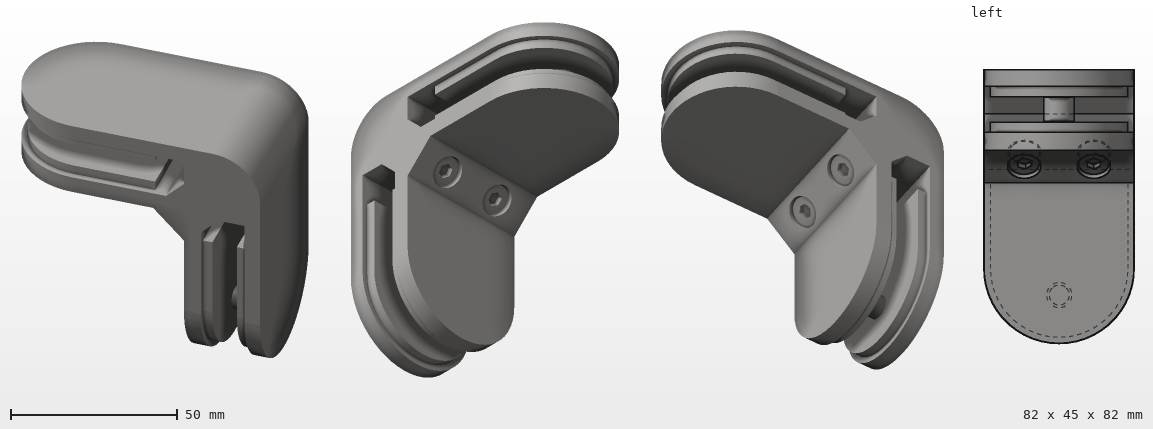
import cadquery as cq
import math

arm_length = 82.0
width = 45.0
outer_plate = 5.0
inner_plate = 5.3
arm_thickness = 24.1
corner_radius = 15.0
slot_chamfer = 5.65
inner_chamfer = 9.75

pad_thickness = 3.0
pad_width = 41.2

top_pin_diameter = 9.0
top_pin_neck_diameter = 8.0
top_pin_neck_length = 0.25
top_pin_from_tip = 15.1
side_peg_diameter = 7.55
side_peg_neck_diameter = 6.0
side_peg_neck_length = 0.5
side_peg_from_tip = 14.6

bore_diameter = 10.0
screw_diameter = 9.0
screw_length = 5.0
screw_recess = 1.2
screw_offset = 10.4
socket_across_flats = 4.0
socket_depth = 2.0
socket_turns = {-screw_offset: 0.0, screw_offset: 10.0}

tip_radius = width / 2
tip_centre = arm_length - tip_radius
pad_radius = pad_width / 2
slot_far = arm_thickness - inner_plate
pad_end = arm_thickness + inner_chamfer
pad_gap = slot_far - outer_plate - 2 * pad_thickness
gap_top = outer_plate + pad_thickness


def to_side_arm(body):
    """Place a copy of a top-arm body on the side arm, mirrored across the plane X = Z."""
    return body.rotate((0, 0, 0), (0, 1, 0), -90).mirror("YZ")


def make_tongue(root, radius, depth, thickness):
    """Round-ended plate from X = -root to the arm tip, its upper face at Z = -depth."""
    return (
        cq.Workplane("XY", origin=(0, 0, -depth))
        .moveTo(-root, -radius)
        .lineTo(-tip_centre, -radius)
        .threePointArc((-tip_centre - radius, 0), (-tip_centre, radius))
        .lineTo(-root, radius)
        .close()
        .extrude(-thickness)
    )


def make_post(diameter, from_tip, depth, length):
    """Vertical cylinder on the top arm, its upper end at Z = -depth."""
    post_plane = cq.Workplane("XY", origin=(from_tip - arm_length, 0, -depth))
    return post_plane.circle(diameter / 2).extrude(-length)


def make_pin(diameter, neck_diameter, neck_length, from_tip):
    """Barrel with a thinner neck at each end, filling the gap between the pads of the top arm."""
    neck = make_post(neck_diameter, from_tip, gap_top, pad_gap)
    barrel = make_post(diameter, from_tip, gap_top + neck_length, pad_gap - 2 * neck_length)
    return neck.union(barrel)


def make_slot():
    """Slot between the two plates of the top arm, with its inner corner chamfered."""
    return (
        cq.Workplane("XZ", origin=(0, -tip_radius, 0))
        .moveTo(-arm_length, -outer_plate)
        .lineTo(-arm_thickness, -outer_plate)
        .lineTo(-arm_thickness, slot_chamfer - slot_far)
        .lineTo(-arm_thickness - slot_chamfer, -slot_far)
        .lineTo(-arm_length, -slot_far)
        .close()
        .extrude(-width)
    )


def make_brace():
    """Triangular fill in the inner corner, which forms the chamfer between the arms."""
    return (
        cq.Workplane("XZ", origin=(0, -tip_radius, 0))
        .moveTo(-arm_thickness, -arm_thickness)
        .lineTo(-arm_thickness - inner_chamfer, -arm_thickness)
        .lineTo(-arm_thickness, -arm_thickness - inner_chamfer)
        .close()
        .extrude(-width)
    )


def make_peg_root():
    """Stem through the outer pad that joins the peg to the outer plate, in top-arm position."""
    return make_post(side_peg_neck_diameter, side_peg_from_tip, outer_plate, pad_thickness)


def make_side_peg():
    """Peg of the side arm: a necked barrel on a stem that is rooted in the outer plate."""
    barrel = make_pin(side_peg_diameter, side_peg_neck_diameter, side_peg_neck_length, side_peg_from_tip)
    return to_side_arm(barrel.union(make_peg_root()))


def screw_plane(y):
    """Plane on the inner chamfer, centred on a screw, with its normal pointing out of the housing."""
    middle = arm_thickness + inner_chamfer / 2
    return cq.Plane(origin=(-middle, y, -middle), xDir=(0, 1, 0), normal=(-1, 0, -1))


def make_housing():
    """Both forked arms with the rounded corner, the screw bores and the peg of the side arm."""
    arm = make_tongue(0, tip_radius, 0, arm_thickness)
    body = arm.union(to_side_arm(arm)).union(make_brace())
    outer_corner = cq.selectors.NearestToPointSelector((0, 0, 0))
    body = body.edges(outer_corner).fillet(corner_radius)
    slot = make_slot()
    body = body.cut(slot).cut(to_side_arm(slot))
    bore_depth = screw_recess + screw_length
    for y in socket_turns:
        bore = cq.Workplane(screw_plane(y)).circle(bore_diameter / 2).extrude(-bore_depth)
        body = body.cut(bore)
    return body.union(make_side_peg())


def make_pad(depth):
    """Pad of the top arm with its upper face at Z = -depth."""
    return make_tongue(pad_end, pad_radius, depth, pad_thickness)


def make_screw(y, socket_turn):
    """Cylindrical screw below the chamfer, with a hexagon socket in its outer end."""
    socket_corners = socket_across_flats / math.cos(math.radians(30))
    end_face = cq.Workplane(screw_plane(y)).workplane(offset=-screw_recess)
    body = end_face.circle(screw_diameter / 2).extrude(-screw_length)
    socket = end_face.transformed(rotate=(0, 0, 90 + socket_turn)).polygon(6, socket_corners)
    return body.cut(socket.extrude(-socket_depth))


housing = make_housing()

pads = []
for depth in (outer_plate, slot_far - pad_thickness):
    top_pad = make_pad(depth)
    side_pad = to_side_arm(top_pad.cut(make_peg_root()))
    pads.extend([top_pad, side_pad])

top_pin = make_pin(top_pin_diameter, top_pin_neck_diameter, top_pin_neck_length, top_pin_from_tip)

screws = [make_screw(y, turn) for y, turn in socket_turns.items()]

result = cq.Compound.makeCompound(
    [
        housing.val(),
        *[pad.val() for pad in pads],
        top_pin.val(),
        *[screw.val() for screw in screws],
    ]
)